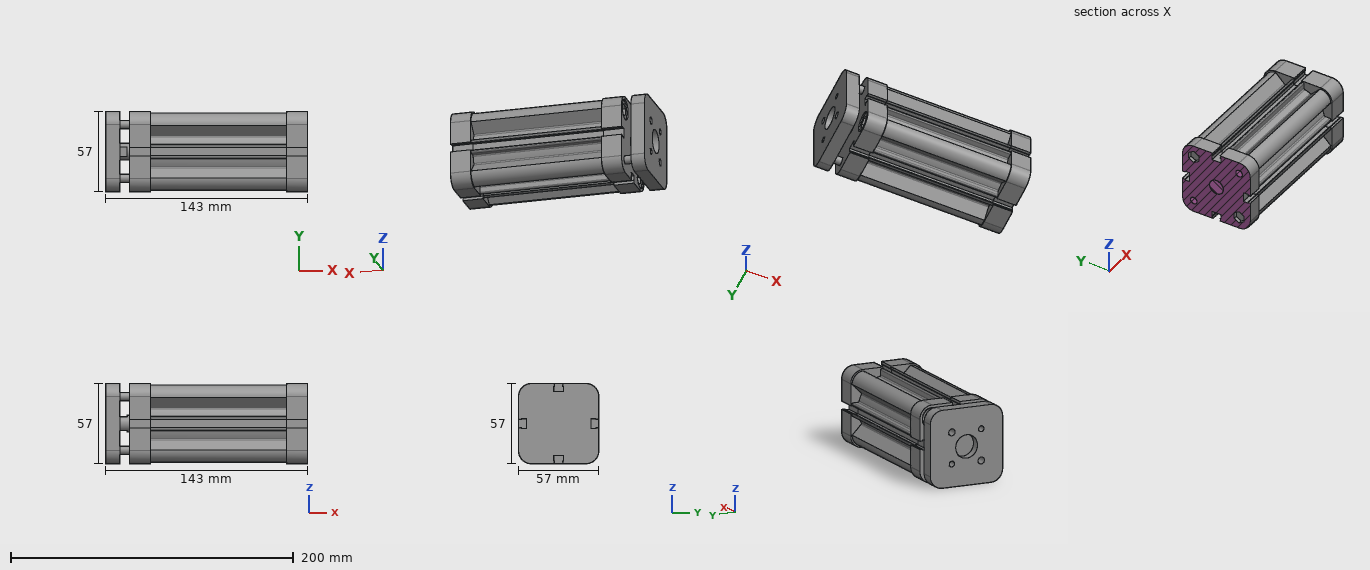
import cadquery as cq
import math

LENGTH = 143.0
PLATE_THICKNESS = 10.0
PLATE_GAP = 6.9
CAP_LENGTH = 14.9
FRONT_CAP_START = PLATE_THICKNESS + PLATE_GAP
BARREL_START = FRONT_CAP_START + CAP_LENGTH
REAR_CAP_START = LENGTH - CAP_LENGTH
BARREL_LENGTH = REAR_CAP_START - BARREL_START

CAP_SIDE = 57.0
CAP_CORNER_RADIUS = 9.5

BARREL_HALF = 27.5
BARREL_CORNER_RADIUS = 8.9
TUBE_RADIUS = 22.7
RAIL_HALF_WIDTH = 5.0
RAIL_EDGE_RADIUS = 0.9
ROOT_FILLET = 1.0

CAP_MOUTH_WIDTH = 6.0
BARREL_MOUTH_WIDTH = 5.6
LIP_OVERHANG = 0.6
LIP_RADIUS = 0.5
SLOT_INNER_TOP = 26.3
SLOT_FLOOR = 22.7

PLATE_RECESS_DIAMETER = 17.2
PLATE_RECESS_DEPTH = 6.5
PLATE_HOLE_OFFSET = 11.6
PLATE_LARGE_HOLE = 5.0
PLATE_SMALL_HOLE = 4.1

PISTON_DIAMETER = 12.0
FLAT_LENGTH = 5.1
ACROSS_FLATS = 10.0
GUIDE_DIAMETER = 6.0
CORNER_OFFSET = 19.0

COUNTERBORE_DIAMETER = 14.9
COUNTERBORE_DEPTH = 1.0
SOCKET_ACROSS_FLATS = 8.0
SOCKET_DEPTH = 5.0
HEXAGON_TURN = 30

GUIDE_CORNERS = [(-CORNER_OFFSET, CORNER_OFFSET), (CORNER_OFFSET, -CORNER_OFFSET)]
SCREW_CORNERS = [(CORNER_OFFSET, CORNER_OFFSET), (-CORNER_OFFSET, -CORNER_OFFSET)]
TOLERANCE = 0.01
QUARTER_TURNS = [0, 90, 180, 270]


def section(x):
    """Workplane across the length at x: local x is Y and local y is Z."""
    return cq.Workplane("YZ", origin=(x, 0, 0))


def turned(shape, angle):
    return shape.rotate((0, 0, 0), (1, 0, 0), angle)


def rounded_block(start, length):
    """Square block with its four lengthwise edges rounded."""
    block = section(start).rect(CAP_SIDE, CAP_SIDE).extrude(length)
    return block.edges("|X").fillet(CAP_CORNER_RADIUS)


def cut_t_slots(body, start, length, mouth_width):
    """Cut the same T-slot into all four sides."""
    inner_depth = SLOT_INNER_TOP - SLOT_FLOOR
    inner = (
        section(start)
        .center(0, SLOT_FLOOR + inner_depth / 2)
        .rect(mouth_width + 2 * LIP_OVERHANG, inner_depth)
        .extrude(length)
    )
    mouth_depth = CAP_SIDE / 2 - SLOT_FLOOR
    mouth = (
        section(start)
        .center(0, SLOT_FLOOR + mouth_depth / 2)
        .rect(mouth_width, mouth_depth)
        .extrude(length)
    )
    slot = inner.union(mouth)
    for angle in QUARTER_TURNS:
        body = body.cut(turned(slot, angle))
    return body


def make_yoke():
    """Front plate together with the two guide rods on opposite corners of its back."""
    plate = rounded_block(0, PLATE_THICKNESS)
    recess = section(0).circle(PLATE_RECESS_DIAMETER / 2).extrude(PLATE_RECESS_DEPTH)
    offset = PLATE_HOLE_OFFSET
    large_holes = (
        section(0)
        .pushPoints([(offset, offset), (-offset, -offset)])
        .circle(PLATE_LARGE_HOLE / 2)
        .extrude(PLATE_THICKNESS)
    )
    small_holes = (
        section(0)
        .pushPoints([(-offset, offset), (offset, -offset)])
        .circle(PLATE_SMALL_HOLE / 2)
        .extrude(PLATE_THICKNESS)
    )
    rods = (
        section(PLATE_THICKNESS)
        .pushPoints(GUIDE_CORNERS)
        .circle(GUIDE_DIAMETER / 2)
        .extrude(BARREL_START - PLATE_THICKNESS)
    )
    return plate.cut(recess).cut(large_holes).cut(small_holes).union(rods)


def make_piston_rod():
    """Round rod with two wrench flats, facing up and down, next to the plate."""
    rod = (
        section(PLATE_THICKNESS)
        .circle(PISTON_DIAMETER / 2)
        .extrude(BARREL_START - PLATE_THICKNESS)
    )
    for side in (1, -1):
        waste = (
            section(PLATE_THICKNESS)
            .center(0, side * ACROSS_FLATS)
            .rect(PISTON_DIAMETER, ACROSS_FLATS)
            .extrude(FLAT_LENGTH)
        )
        rod = rod.cut(waste)
    return rod


def make_cap_block(start):
    """Rounded block with the T-slots; plain like this it is the rear cap."""
    return cut_t_slots(rounded_block(start, CAP_LENGTH), start, CAP_LENGTH, CAP_MOUTH_WIDTH)


def make_front_cap():
    """Cap with bearing holes for the rods and two hexagon sockets in counterbores."""
    cap = make_cap_block(FRONT_CAP_START)
    face = section(FRONT_CAP_START)
    piston_hole = face.circle(PISTON_DIAMETER / 2).extrude(CAP_LENGTH)
    guide_holes = face.pushPoints(GUIDE_CORNERS).circle(GUIDE_DIAMETER / 2).extrude(CAP_LENGTH)
    counterbores = (
        face.pushPoints(SCREW_CORNERS).circle(COUNTERBORE_DIAMETER / 2).extrude(COUNTERBORE_DEPTH)
    )
    cap = cap.cut(piston_hole).cut(guide_holes).cut(counterbores)

    across_corners = SOCKET_ACROSS_FLATS / math.cos(math.radians(HEXAGON_TURN))
    for y, z in SCREW_CORNERS:
        socket = (
            section(FRONT_CAP_START)
            .polygon(6, across_corners)
            .extrude(COUNTERBORE_DEPTH + SOCKET_DEPTH)
            .rotate((0, 0, 0), (1, 0, 0), HEXAGON_TURN)
            .translate((0, y, z))
        )
        cap = cap.cut(socket)
    return cap


def make_corner_arm():
    """Diagonal web from the axis to the rounded corner at +Y +Z."""
    edge = BARREL_HALF
    radius = BARREL_CORNER_RADIUS
    tangent = edge - radius
    corner_mid = tangent + radius * math.sqrt(0.5)
    return (
        section(BARREL_START)
        .moveTo(radius, 0)
        .lineTo(edge, tangent)
        .threePointArc((corner_mid, corner_mid), (tangent, edge))
        .lineTo(0, radius)
        .close()
        .extrude(BARREL_LENGTH)
    )


def make_rail():
    """Rail on the +Z side that carries a T-slot."""
    rail = (
        section(BARREL_START)
        .center(0, BARREL_HALF / 2)
        .rect(2 * RAIL_HALF_WIDTH, BARREL_HALF)
        .extrude(BARREL_LENGTH)
    )
    return rail.faces(">Z").edges("|X").fillet(RAIL_EDGE_RADIUS)


def is_root_edge(edge):
    """True for the edges where arms and rails meet the round tube."""
    center = edge.Center()
    return abs(math.hypot(center.y, center.z) - TUBE_RADIUS) < TOLERANCE


def is_lip_edge(edge):
    """True for the outer edges of the slot mouths."""
    center = edge.Center()
    lip_distance = math.hypot(BARREL_HALF, BARREL_MOUTH_WIDTH / 2)
    return abs(math.hypot(center.y, center.z) - lip_distance) < TOLERANCE


def make_barrel():
    """Round tube with four corner arms and four slotted rails."""
    barrel = section(BARREL_START).circle(TUBE_RADIUS).extrude(BARREL_LENGTH)
    arm = make_corner_arm()
    rail = make_rail()
    for angle in QUARTER_TURNS:
        barrel = barrel.union(turned(arm, angle)).union(turned(rail, angle))
    barrel = barrel.edges("|X").filter(is_root_edge).fillet(ROOT_FILLET)
    barrel = cut_t_slots(barrel, BARREL_START, BARREL_LENGTH, BARREL_MOUTH_WIDTH)
    return barrel.edges("|X").filter(is_lip_edge).fillet(LIP_RADIUS)


yoke = make_yoke()
piston_rod = make_piston_rod()
front_cap = make_front_cap()
barrel = make_barrel()
rear_cap = make_cap_block(REAR_CAP_START)

result = cq.Compound.makeCompound(
    [yoke.val(), piston_rod.val(), front_cap.val(), barrel.val(), rear_cap.val()]
)